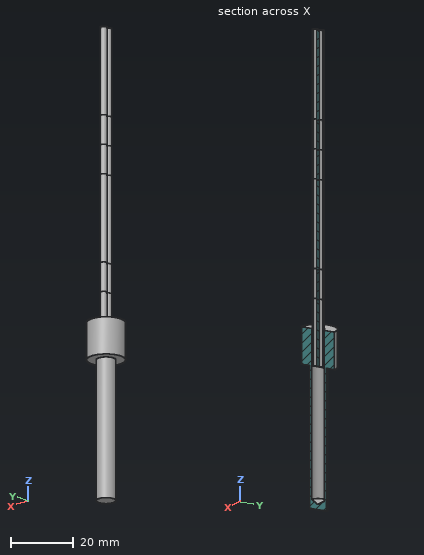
import cadquery as cq
import math

TOTAL_HEIGHT = 160.2
LONG_SEGMENT = 30.0
SHORT_SEGMENT = LONG_SEGMENT / 3
SEGMENT_LENGTHS = [
    SHORT_SEGMENT,
    SHORT_SEGMENT,
    LONG_SEGMENT,
    SHORT_SEGMENT,
    SHORT_SEGMENT,
    LONG_SEGMENT,
]
COLLAR_TOP = TOTAL_HEIGHT - sum(SEGMENT_LENGTHS)

COLLAR_DIAMETER = 12.7
COLLAR_HEIGHT = 12.7
STEM_DIAMETER = 6.4
STEM_LENGTH = COLLAR_TOP - COLLAR_HEIGHT
BORE_DIAMETER = 4.5
BORE_CONE_START = 3.2
BORE_POINT_ANGLE = 118.0

STRAND_DIAMETER = 2.2
STRAND_OVERLAP = 0.03
STRAND_CORE_DIAMETER = 1.1
STRAND_OFFSET = (STRAND_DIAMETER - STRAND_OVERLAP) / 2
INSERTION_DEPTH = COLLAR_HEIGHT


def make_holder():
    """Stem with the collar at its upper end and a blind, cone-ended bore from the top."""
    stem = cq.Workplane("XY").circle(STEM_DIAMETER / 2).extrude(STEM_LENGTH)
    collar = (
        cq.Workplane("XY")
        .workplane(offset=STEM_LENGTH)
        .circle(COLLAR_DIAMETER / 2)
        .extrude(COLLAR_HEIGHT)
    )
    bore_radius = BORE_DIAMETER / 2
    point_height = bore_radius / math.tan(math.radians(BORE_POINT_ANGLE / 2))
    bore = (
        cq.Workplane("XZ")
        .moveTo(0, BORE_CONE_START - point_height)
        .lineTo(bore_radius, BORE_CONE_START)
        .lineTo(bore_radius, COLLAR_TOP)
        .lineTo(0, COLLAR_TOP)
        .close()
        .revolve(360, (0, 0, 0), (0, 1, 0))
    )
    return stem.union(collar).cut(bore)


def make_strand(y, bottom, length):
    """Hollow round strand standing at the given Y position."""
    return (
        cq.Workplane("XY")
        .workplane(offset=bottom)
        .center(0, y)
        .circle(STRAND_DIAMETER / 2)
        .circle(STRAND_CORE_DIAMETER / 2)
        .extrude(length)
    )


def make_wire_segment(bottom, top):
    """One length of the twin wire, with both strands fused together."""
    length = top - bottom
    front_strand = make_strand(-STRAND_OFFSET, bottom, length)
    back_strand = make_strand(STRAND_OFFSET, bottom, length)
    return front_strand.union(back_strand)


holder = make_holder()

wire_segments = []
segment_bottom = COLLAR_TOP - INSERTION_DEPTH
segment_top = COLLAR_TOP
for exposed_length in SEGMENT_LENGTHS:
    segment_top += exposed_length
    wire_segments.append(make_wire_segment(segment_bottom, segment_top))
    segment_bottom = segment_top

result = cq.Compound.makeCompound(
    [holder.val(), *[segment.val() for segment in wire_segments]]
)